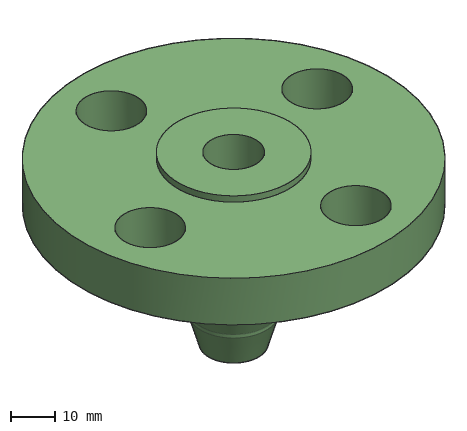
import cadquery as cq
import math

flange_diameter = 95.25
flange_thickness = 12.8
face_diameter = 34.9
face_height = 1.7
total_height = 52.4

bore_diameter = 13.9
bolt_hole_diameter = 15.9
bolt_circle_diameter = 66.7
bolt_count = 4

weld_end_radius = 7.8
weld_bevel_height = 8.6
neck_end_radius = 10.3
neck_land_height = 1.0
taper_top_radius = 17.8
fillet_height = 4.6

flange_top = total_height - face_height
flange_bottom = flange_top - flange_thickness
land_top = weld_bevel_height + neck_land_height
taper_top = flange_bottom - fillet_height

taper_angle = math.atan2(taper_top_radius - neck_end_radius, taper_top - land_top)
fillet_radius = fillet_height / (1 - math.sin(taper_angle))
fillet_outer_radius = taper_top_radius + fillet_radius * math.cos(taper_angle)
half_angle = (taper_angle + math.pi / 2) / 2
fillet_middle = (
    fillet_outer_radius - fillet_radius * math.cos(half_angle),
    flange_bottom - fillet_radius + fillet_radius * math.sin(half_angle),
)


def flange_body():
    """Revolve the half section of the neck, flange and raised face."""
    return (
        cq.Workplane("XZ")
        .moveTo(0, 0)
        .lineTo(weld_end_radius, 0)
        .lineTo(neck_end_radius, weld_bevel_height)
        .lineTo(neck_end_radius, land_top)
        .lineTo(taper_top_radius, taper_top)
        .threePointArc(fillet_middle, (fillet_outer_radius, flange_bottom))
        .lineTo(flange_diameter / 2, flange_bottom)
        .lineTo(flange_diameter / 2, flange_top)
        .lineTo(face_diameter / 2, flange_top)
        .lineTo(face_diameter / 2, total_height)
        .lineTo(0, total_height)
        .close()
        .revolve(360, (0, 0, 0), (0, 1, 0))
    )


def bore():
    return cq.Workplane("XY").circle(bore_diameter / 2).extrude(total_height)


def bolt_holes():
    return (
        cq.Workplane("XY")
        .workplane(offset=flange_bottom)
        .polarArray(bolt_circle_diameter / 2, 0, 360, bolt_count)
        .circle(bolt_hole_diameter / 2)
        .extrude(flange_thickness)
    )


result = flange_body().cut(bore()).cut(bolt_holes())